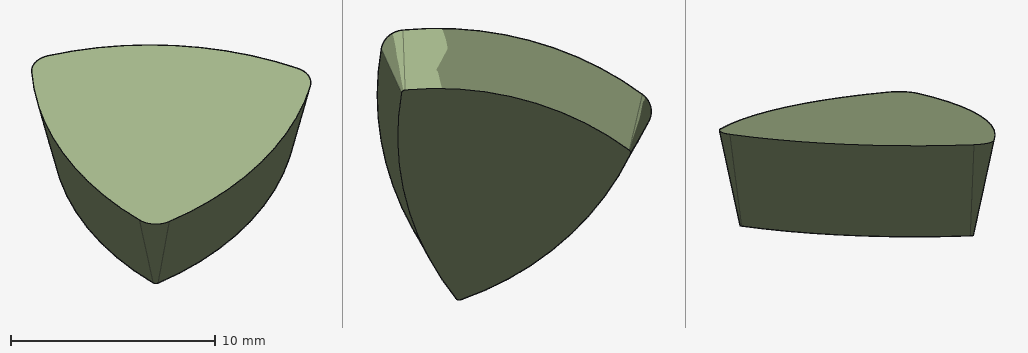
import cadquery as cq
import math

width = 13.71
depth = 13.33
height = 4.76
corner_radius = 1.2
relief_angle = 12.0

corner_offset = (width / 2 - corner_radius) / math.cos(math.radians(30))
side_offset = depth - corner_offset - corner_radius

half_chord = width / 2 - corner_radius
bulge = side_offset - corner_offset / 2
side_radius = (half_chord**2 + bulge**2 - corner_radius**2) / (2 * (bulge - corner_radius))

side_half_angle = math.degrees(math.asin(half_chord / (side_radius - corner_radius)))
corner_half_angle = 60 - side_half_angle


def polar(distance, angle):
    """Point at a distance from the Z axis, in the direction of an angle in degrees."""
    turn = math.radians(angle)
    return (distance * math.cos(turn), distance * math.sin(turn))


def corner_point(corner_angle, swing):
    """Point on a rounded corner, swung from the corner's own direction."""
    center_x, center_y = polar(corner_offset, corner_angle)
    dx, dy = polar(corner_radius, corner_angle + swing)
    return (center_x + dx, center_y + dy)


outline = cq.Workplane("XY").moveTo(*corner_point(90, -corner_half_angle))
for corner_angle in (90, 210, 330):
    outline = outline.threePointArc(
        corner_point(corner_angle, 0),
        corner_point(corner_angle, corner_half_angle),
    )
    outline = outline.threePointArc(
        polar(side_offset, corner_angle + 60),
        corner_point(corner_angle + 120, -corner_half_angle),
    )

result = outline.close().extrude(-height, taper=relief_angle)